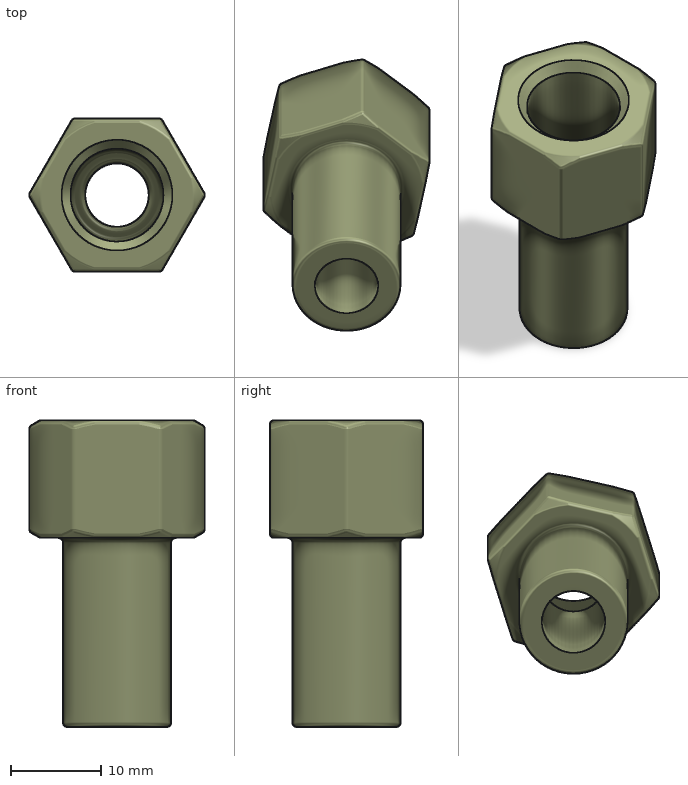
import cadquery as cq
import math

total_length = 34.0
head_height = 13.05
across_flats = 17.0
shank_diameter = 12.0
edge_radius = 0.5
corner_cone_angle = math.radians(30)

bore_diameter = 10.3
bore_depth = head_height
mouth_chamfer = 1.0
through_diameter = 7.0

shank_length = total_length - head_height


def rounded_hex_head():
    """Hexagonal head, corners trimmed by cones at both ends, with every edge rounded."""
    core_height = head_height - 2 * edge_radius
    core_corner_radius = (across_flats / 2 - edge_radius) / math.cos(math.pi / 6)
    core_hex = cq.Workplane("XY").polygon(6, 2 * core_corner_radius).extrude(core_height)

    cone_end_radius = across_flats / 2 - edge_radius * math.tan(corner_cone_angle / 2)
    cone_drop = (core_corner_radius - cone_end_radius) * math.tan(corner_cone_angle)
    trim = (
        cq.Workplane("XZ")
        .lineTo(cone_end_radius, 0)
        .lineTo(core_corner_radius, cone_drop)
        .lineTo(core_corner_radius, core_height - cone_drop)
        .lineTo(cone_end_radius, core_height)
        .lineTo(0, core_height)
        .close()
        .revolve()
    )
    core = core_hex.intersect(trim)
    skin = core.shell(edge_radius, kind="arc")
    return core.union(skin).translate((0, 0, shank_length + edge_radius))


def shank():
    """Round shank with a rounded free end and a fillet flaring into the head."""
    radius = shank_diameter / 2
    root_height = shank_length - edge_radius
    overlap_height = shank_length + edge_radius
    return (
        cq.Workplane("XZ")
        .lineTo(radius - edge_radius, 0)
        .radiusArc((radius, edge_radius), -edge_radius)
        .lineTo(radius, root_height)
        .radiusArc((radius + edge_radius, shank_length), edge_radius)
        .lineTo(radius + edge_radius, overlap_height)
        .lineTo(0, overlap_height)
        .close()
        .revolve()
    )


def stepped_hole():
    """Chamfered wide bore with a rounded floor, opening through a rounded lip into the through hole."""
    bore_radius = bore_diameter / 2
    through_radius = through_diameter / 2
    floor = total_length - bore_depth
    return (
        cq.Workplane("XZ")
        .lineTo(through_radius, 0)
        .lineTo(through_radius, floor - edge_radius)
        .radiusArc((through_radius + edge_radius, floor), edge_radius)
        .lineTo(bore_radius - edge_radius, floor)
        .radiusArc((bore_radius, floor + edge_radius), -edge_radius)
        .lineTo(bore_radius, total_length - mouth_chamfer)
        .lineTo(bore_radius + mouth_chamfer, total_length)
        .lineTo(0, total_length)
        .close()
        .revolve()
    )


result = rounded_hex_head().union(shank()).cut(stepped_hole()).solids()